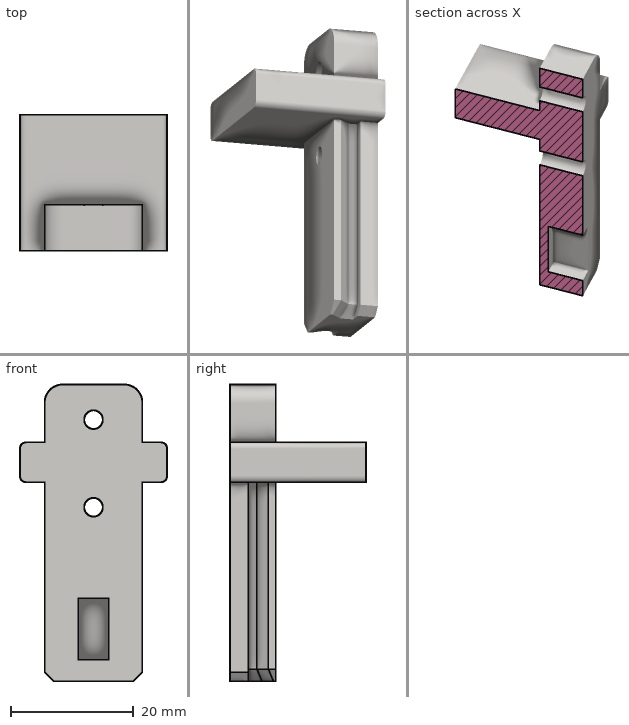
import cadquery as cq
import math

height = 48.4
upright_width = 15.95
upright_depth = 7.5
top_radius = 3.0
toe_chamfer = 1.5

bar_width = 24.0
bar_length = 22.2
bar_bottom = 32.45
bar_top = 38.95
bar_radius = 1.0

plate_depth = 3.0
neck_end = 4.4
flare_end = 6.3
flare_inset = flare_end - neck_end
rail_chamfer = 2.0

hole_diameter = 3.0
hole_heights = (28.35, 42.65)
pocket_width = 5.0
pocket_height = 10.0
pocket_bottom = 3.5
pocket_depth = 6.0


def front_block(width, bottom, top, depth):
    """Block centred on X, running from the front face back to the given depth."""
    block = cq.Workplane("XY").box(width, depth, top - bottom, centered=(True, False, False))
    return block.translate((0, 0, bottom))


def rail_section(inset, level):
    """Closed wire of the neck and flared rail, with its side faces moved in by the inset."""
    half_rail = upright_width / 2 - inset
    half_neck = half_rail - flare_inset
    corner_shift = inset * math.tan(math.radians(22.5))
    right_side = [
        (half_neck, plate_depth),
        (half_neck, neck_end + corner_shift),
        (half_rail, flare_end + corner_shift),
        (half_rail, upright_depth),
    ]
    left_side = [(-x, y) for x, y in reversed(right_side)]
    return cq.Workplane("XY", origin=(0, 0, level)).polyline(right_side + left_side).close().wire().val()


def make_rail():
    """Neck and rail up to the crossbar, with all side faces chamfered at the bottom."""
    toe = cq.Solid.makeLoft(
        [rail_section(rail_chamfer, 0), rail_section(0, rail_chamfer)], True
    )
    stem = cq.Solid.extrudeLinear(
        rail_section(0, rail_chamfer), [], cq.Vector(0, 0, bar_bottom - rail_chamfer)
    )
    return cq.Workplane("XY").newObject([toe]).union(cq.Workplane("XY").newObject([stem]))


def make_front_plate():
    """Lower front plate with chamfered bottom corners."""
    plate = front_block(upright_width, 0, bar_bottom, plate_depth)
    return plate.faces("<Z").edges("|Y").chamfer(toe_chamfer)


def make_head():
    """Full-depth upper end with rounded top corners."""
    head = front_block(upright_width, bar_bottom, height, upright_depth)
    return head.faces(">Z").edges("|Y").fillet(top_radius)


def make_crossbar():
    """Crossbar with rounded long edges."""
    return front_block(bar_width, bar_bottom, bar_top, bar_length).edges("|Y").fillet(bar_radius)


def make_screw_holes():
    """Cylinders through the full depth of the part."""
    centres = [(0, z) for z in hole_heights]
    return cq.Workplane("XZ").pushPoints(centres).circle(hole_diameter / 2).extrude(-bar_length)


body = make_front_plate().union(make_rail()).union(make_head()).union(make_crossbar())
pocket = front_block(pocket_width, pocket_bottom, pocket_bottom + pocket_height, pocket_depth)
result = body.cut(make_screw_holes()).cut(pocket)